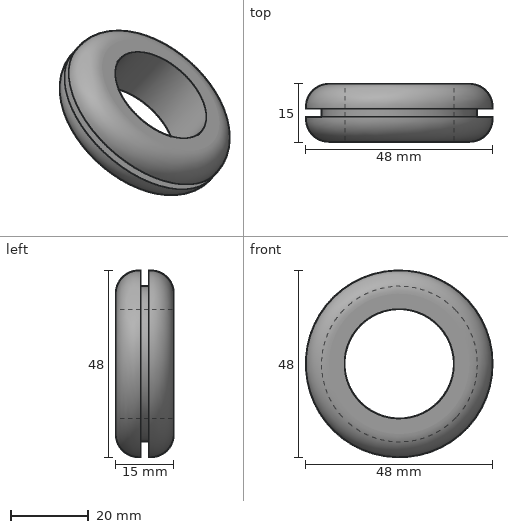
import cadquery as cq

outer_diameter = 48.0
width = 15.0
bore_diameter = 28.0
groove_diameter = 40.0
groove_width = 2.0
edge_radius = 6.0


def disc(diameter, length):
    """Disc of the given diameter about the Y axis, centred on the origin."""
    start = cq.Workplane("XZ", origin=(0, length / 2, 0))
    return start.circle(diameter / 2).extrude(length)


body = disc(outer_diameter, width).edges().fillet(edge_radius)

groove = disc(outer_diameter, groove_width).cut(disc(groove_diameter, groove_width))

bore = disc(bore_diameter, width)

result = body.cut(groove).cut(bore)